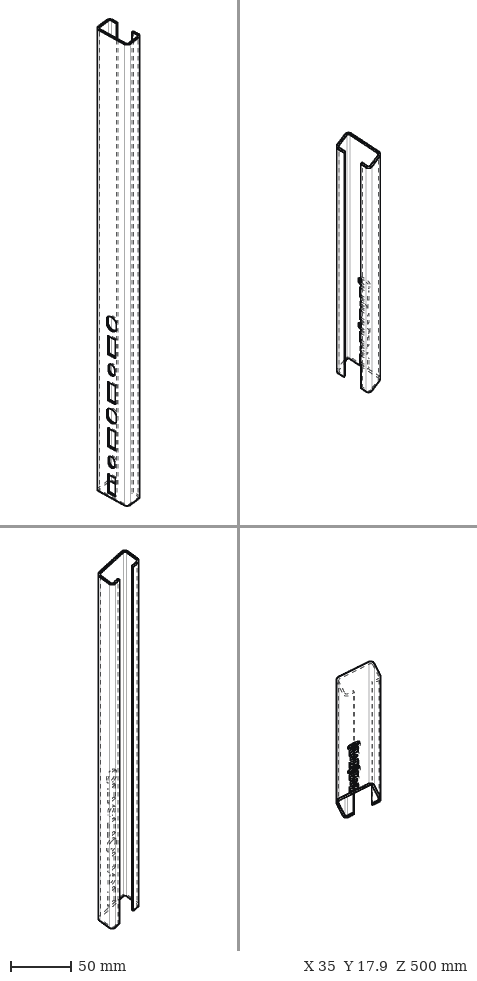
import math

import cadquery as cq

LENGTH = 500.0
WIDTH = 35.0
DEPTH = 17.87
THICKNESS = 1.75
OUTER_BEND_RADIUS = 3.5
INNER_BEND_RADIUS = OUTER_BEND_RADIUS - THICKNESS
MOUTH_WIDTH = 17.0
LIP_TILT = math.radians(2)

SLOT_PITCH = 25.0
FIRST_SLOT_Z = 14.0
PATTERN_LENGTH = 4 * SLOT_PITCH
PATTERN_COUNT = 2
RECTANGLE_WIDTH = 8.0
RECTANGLE_HEIGHT = 20.0
SMALL_SLOT_WIDTH = 6.6
SMALL_SLOT_HEIGHT = 12.0
LARGE_SLOT_WIDTH = 10.5
LARGE_SLOT_HEIGHT = 15.0


def polar(center, radius, angle):
    """Point at a radius and an angle from a center."""
    return (center[0] + radius * math.cos(angle), center[1] + radius * math.sin(angle))


def half_channel():
    """The +X half of the rail: half the web, one side wall and one lip."""
    web_bend = (WIDTH / 2 - OUTER_BEND_RADIUS, OUTER_BEND_RADIUS)
    lip_bend = (WIDTH / 2 - OUTER_BEND_RADIUS, DEPTH - OUTER_BEND_RADIUS)
    web_bend_middle = math.radians(-45)
    lip_bend_end = math.radians(90) + LIP_TILT
    lip_bend_middle = lip_bend_end / 2

    lip_start_outer = polar(lip_bend, OUTER_BEND_RADIUS, lip_bend_end)
    lip_start_inner = polar(lip_bend, INNER_BEND_RADIUS, lip_bend_end)
    lip_length = (lip_start_outer[0] - MOUTH_WIDTH / 2) / math.cos(LIP_TILT)
    lip_direction = math.pi + LIP_TILT

    return (
        cq.Workplane("XY")
        .lineTo(web_bend[0], 0)
        .threePointArc(polar(web_bend, OUTER_BEND_RADIUS, web_bend_middle), (WIDTH / 2, web_bend[1]))
        .lineTo(WIDTH / 2, lip_bend[1])
        .threePointArc(polar(lip_bend, OUTER_BEND_RADIUS, lip_bend_middle), lip_start_outer)
        .lineTo(*polar(lip_start_outer, lip_length, lip_direction))
        .lineTo(*polar(lip_start_inner, lip_length, lip_direction))
        .lineTo(*lip_start_inner)
        .threePointArc(
            polar(lip_bend, INNER_BEND_RADIUS, lip_bend_middle),
            (WIDTH / 2 - THICKNESS, lip_bend[1]),
        )
        .lineTo(WIDTH / 2 - THICKNESS, web_bend[1])
        .threePointArc(
            polar(web_bend, INNER_BEND_RADIUS, web_bend_middle),
            (web_bend[0], THICKNESS),
        )
        .lineTo(0, THICKNESS)
        .close()
        .extrude(LENGTH)
    )


def channel():
    """Whole rail, the half joined to its mirror image across X = 0."""
    half = half_channel()
    return half.union(half.mirror("YZ")).clean()


def web_plane(z):
    """Sketch plane at the web's inner face, extruding toward the outer face."""
    return cq.Workplane("XZ", origin=(0, THICKNESS, z))


def rectangular_slot(z):
    return web_plane(z).rect(RECTANGLE_WIDTH, RECTANGLE_HEIGHT).extrude(THICKNESS)


def rounded_slot(z, width, height):
    return web_plane(z).slot2D(height, width, 90).extrude(THICKNESS)


def slot_pattern(start_z):
    """Four slots upward from start_z: rectangle, small slot, rectangle, large slot."""
    return [
        rectangular_slot(start_z),
        rounded_slot(start_z + SLOT_PITCH, SMALL_SLOT_WIDTH, SMALL_SLOT_HEIGHT),
        rectangular_slot(start_z + 2 * SLOT_PITCH),
        rounded_slot(start_z + 3 * SLOT_PITCH, LARGE_SLOT_WIDTH, LARGE_SLOT_HEIGHT),
    ]


result = channel()
for repeat in range(PATTERN_COUNT):
    for slot in slot_pattern(FIRST_SLOT_Z + repeat * PATTERN_LENGTH):
        result = result.cut(slot)